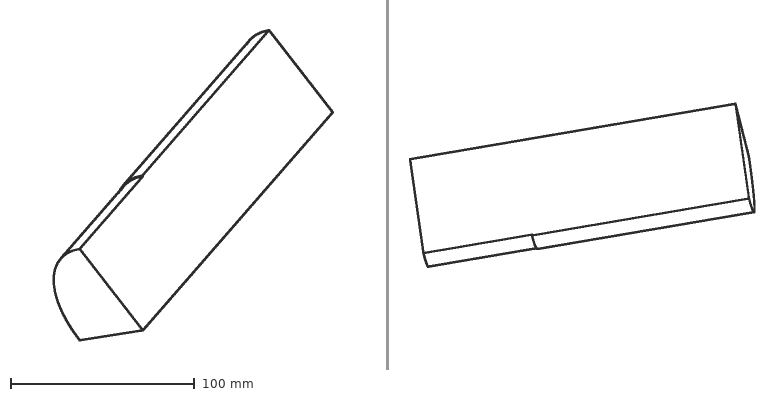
import cadquery as cq
import math

BODY_RADIUS = 60.0
BODY_LENGTH = 120.0
NECK_RADIUS = 59.5
NECK_LENGTH = 60.0
SECTOR_ANGLE = 90.0


def sector_prism(radius, y_start, length):
    """Circular sector with its apex on the Y axis, extruded toward +Y."""
    half_angle = math.radians(SECTOR_ANGLE / 2)
    corner_x = -radius * math.cos(half_angle)
    corner_z = radius * math.sin(half_angle)
    return (
        cq.Workplane("XZ", origin=(0, y_start, 0))
        .moveTo(0, 0)
        .lineTo(corner_x, corner_z)
        .threePointArc((-radius, 0), (corner_x, -corner_z))
        .close()
        .extrude(-length)
    )


neck = sector_prism(NECK_RADIUS, 0, NECK_LENGTH)
body = sector_prism(BODY_RADIUS, NECK_LENGTH, BODY_LENGTH)

result = neck.union(body, clean=False)